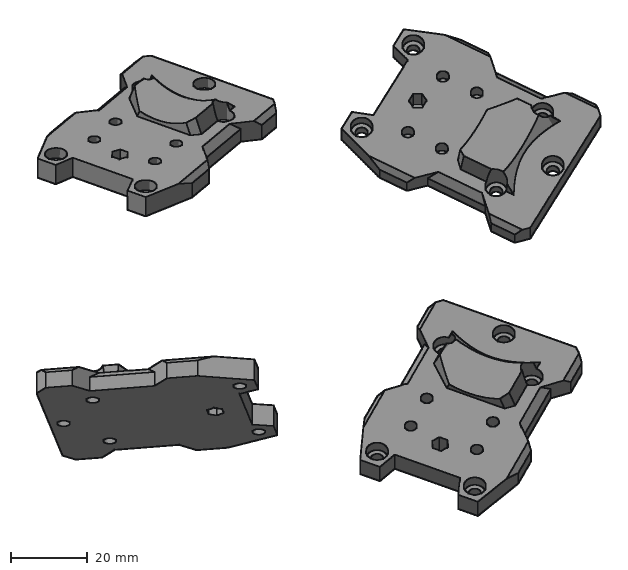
import cadquery as cq
import math

length = 57.3
half_width = 22.0
plate_height = 6.0
back = length / 2
front = -back
back_corner = 3.0
waist_half_width = 18.05
waist_chamfer_width = 2.05
waist_chamfer_height = 2.0
waist_top_half_width = waist_half_width - waist_chamfer_width
waist_depth = half_width - waist_top_half_width
waist_back = 18.7
waist_front = -6.35
taper_start = -14.5
foot_outer = 16.85
foot_inner = 11.2
foot_gap_half_width = 9.35
foot_gap_end = -23.3
side_chamfer_width = 1.5
side_chamfer_height = 1.55

screw_diameter = 3.3
counterbore_diameter = 5.8
counterbore_depth = 3.15
screw_points = [(0, 24.9), (-12.5, 14.95), (12.5, 14.95), (-14.0, -24.25), (14.0, -24.25)]
blind_diameter = 3.2
blind_depth = 4.0
blind_points = [(x, y) for x in (-9.45, 9.45) for y in (-2.85, -12.95)]
hex_corners = 4.65
hex_y = -15.25

saddle_height = 4.6
saddle_half_base = 12.55
saddle_half_top = 10.85
saddle_front = 2.4
saddle_left_corner = 6.0
saddle_right_corner = 2.0
hollow_floor = 1.1
hollow_back = 15.45
margin = 1.15


def side_chamfered(half, height_cut, width_cut, y_min, y_max):
    """Bar along Y with both of its upper side edges chamfered."""
    profile = [
        (-half, 0),
        (half, 0),
        (half, plate_height - height_cut),
        (half - width_cut, plate_height),
        (width_cut - half, plate_height),
        (-half, plate_height - height_cut),
    ]
    bar = cq.Workplane("XZ", origin=(0, y_max, 0)).polyline(profile).close()
    return bar.extrude(y_max - y_min)


def make_plate():
    right_side = [
        (foot_gap_half_width, foot_gap_end),
        (foot_inner, front),
        (foot_outer, front),
        (half_width, taper_start),
        (half_width, waist_front),
        (waist_top_half_width, waist_front + waist_depth),
        (waist_top_half_width, waist_back - waist_depth),
        (half_width, waist_back),
        (half_width, back - back_corner),
        (half_width - back_corner, back),
    ]
    left_side = [(-x, y) for x, y in reversed(right_side)]
    outline = cq.Workplane("XY").polyline(right_side + left_side).close().extrude(plate_height)
    body = outline.intersect(
        side_chamfered(half_width, side_chamfer_height, side_chamfer_width, front, back)
    )
    waist = side_chamfered(
        waist_half_width, waist_chamfer_height, waist_chamfer_width, waist_front, waist_back
    )
    return body.union(waist)


def make_saddle():
    lean = (saddle_half_base - saddle_half_top) / saddle_height
    block_height = saddle_height + margin
    block_half_top = saddle_half_base - lean * block_height
    floor_to_peak = saddle_height - hollow_floor
    hollow_radius = (saddle_half_top**2 + floor_to_peak**2) / (2 * floor_to_peak)
    axis_height = hollow_floor + hollow_radius
    cone_length = math.hypot(saddle_half_base, axis_height) - hollow_radius + margin
    cone_back = hollow_back + cone_length

    section = [
        (-saddle_half_base, 0),
        (saddle_half_base, 0),
        (block_half_top, block_height),
        (-block_half_top, block_height),
    ]
    block = (
        cq.Workplane("XZ", origin=(0, cone_back, plate_height))
        .polyline(section)
        .close()
        .extrude(cone_back - saddle_front)
    )
    leaning_edges = "(not #Z) and (not |Y)"
    block = block.faces("<Y").edges(leaning_edges).edges("<X").chamfer(saddle_left_corner)
    block = block.faces("<Y").edges(leaning_edges).edges(">X").chamfer(saddle_right_corner)

    hollow_profile = [
        (0, saddle_front - margin),
        (hollow_radius, saddle_front - margin),
        (hollow_radius, hollow_back),
        (hollow_radius + cone_length, cone_back),
        (0, cone_back),
    ]
    hollow = (
        cq.Workplane("XY", origin=(0, 0, plate_height + axis_height))
        .polyline(hollow_profile)
        .close()
        .revolve(360, (0, 0, 0), (0, 1, 0))
    )
    return block.cut(hollow)


def cut_holes(part):
    top = cq.Workplane("XY", origin=(0, 0, plate_height))
    through = top.pushPoints(screw_points).circle(screw_diameter / 2).extrude(-plate_height)
    counterbores = (
        cq.Workplane("XY", origin=(0, 0, plate_height - counterbore_depth))
        .pushPoints(screw_points)
        .circle(counterbore_diameter / 2)
        .extrude(counterbore_depth + saddle_height + margin)
    )
    blind = top.pushPoints(blind_points).circle(blind_diameter / 2).extrude(-blind_depth)
    hexagon = top.center(0, hex_y).polygon(6, hex_corners).extrude(-plate_height)
    return part.cut(through).cut(counterbores).cut(blind).cut(hexagon)


result = cut_holes(make_plate().union(make_saddle()))